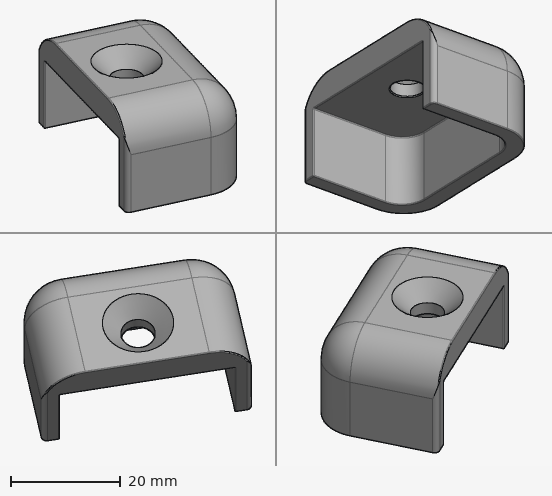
import cadquery as cq
import math

width = 39.0
depth = 25.0
height = 20.0
outer_radius = 8.0
front_corner_radius = 1.0
edge_round = 0.2

side_wall = 3.25
back_wall = 3.5
roof = 6.0
cavity_radius = 5.0

hole_diameter = 6.25
countersink_diameter = 13.0
countersink_angle = 90.0
hole_y = 9.0


def block(size_x, size_y, size_z):
    """Block centred on X, starting at the front face and the underside."""
    return cq.Workplane("XY").box(size_x, size_y, size_z, centered=(True, False, False))


def make_rounded_body():
    """Block with rounded back corners, a matching top round and rounded front edges."""
    overrun = 2 * outer_radius
    body = block(width, depth + overrun, height).translate((0, -overrun, 0))
    body = body.edges("|Z and >Y").fillet(outer_radius)
    body = body.faces(">Z").edges("not <Y").fillet(outer_radius)
    body = body.intersect(block(width, depth, height))
    body = body.faces("<Y").edges("not <Z").fillet(edge_round)
    envelope = block(width, depth, height).edges("|Z and <Y").fillet(front_corner_radius)
    return body.intersect(envelope)


def make_cavity():
    """Cavity with rounded back corners and a softened ceiling edge."""
    cavity = block(width - 2 * side_wall, depth - back_wall, height - roof)
    cavity = cavity.edges("|Z and >Y").fillet(cavity_radius)
    return cavity.faces(">Z").edges("not <Y").fillet(edge_round)


def round_edges(shell):
    """Round the front mouth of the cavity, then the rim of the underside."""
    margin = 0.4
    mouth_half_width = width / 2 - side_wall + margin
    front_mouth = cq.selectors.BoxSelector(
        (-mouth_half_width, -margin, -margin),
        (mouth_half_width, margin, height - roof + margin),
    )
    shell = shell.edges(front_mouth).fillet(edge_round)
    return shell.faces("<Z").edges().fillet(edge_round)


def make_screw_hole():
    """Straight hole with a conical countersink and a rounded lower rim, as a cutting tool."""
    ceiling = height - roof
    hole_radius = hole_diameter / 2
    countersink_radius = countersink_diameter / 2
    half_angle = math.radians(countersink_angle / 2)
    countersink_depth = (countersink_radius - hole_radius) / math.tan(half_angle)
    profile = (
        cq.Workplane("XZ")
        .moveTo(0, ceiling)
        .lineTo(hole_radius + edge_round, ceiling)
        .radiusArc((hole_radius, ceiling + edge_round), -edge_round)
        .lineTo(hole_radius, height - countersink_depth)
        .lineTo(countersink_radius, height)
        .lineTo(0, height)
        .close()
    )
    return profile.revolve(360, (0, 0, 0), (0, 1, 0)).translate((0, hole_y, 0))


shell = round_edges(make_rounded_body().cut(make_cavity()))
result = shell.cut(make_screw_hole())